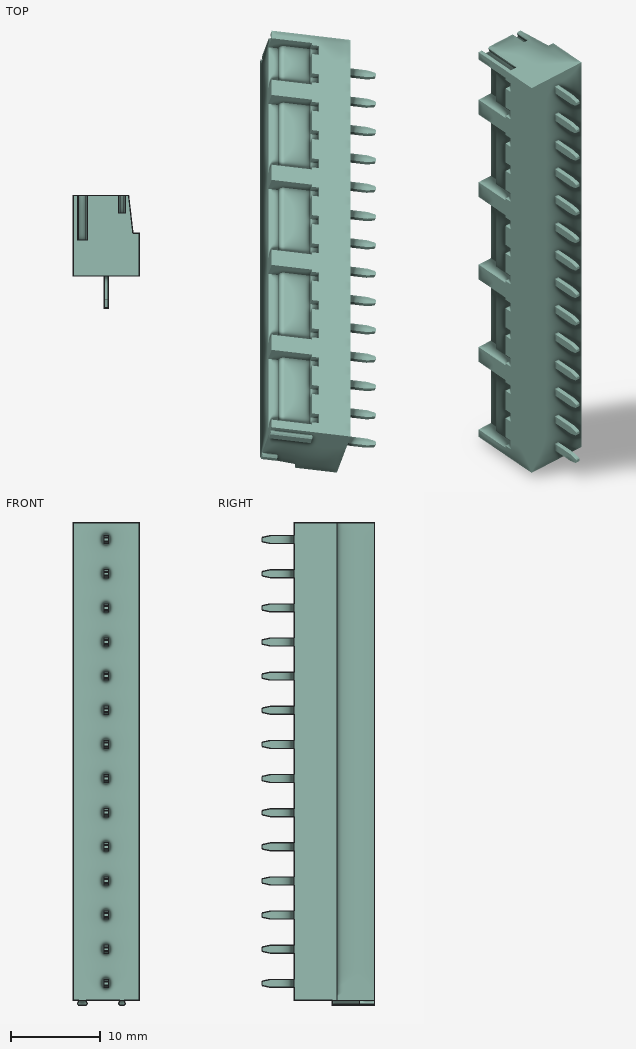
import cadquery as cq

POLES = 14
WIDTH = 7.4
DEPTH = 9.0
HEIGHT = 53.35
PITCH = HEIGHT / POLES

LEDGE_Y = 4.8
SLOPE_START_X = 6.7
SLOPE_END_X = 6.2

PIN_LENGTH = 3.6
PIN_THICK = 0.5
PIN_WIDTH = 0.9
PIN_TIP_WIDTH = 0.55
PIN_TIP_LENGTH = 0.95
PIN_TIP_CHAMFER = 0.1

POLES_PER_RECESS = 3
RIB_HALF = 1.0
RECESS_REACH = 4.6
DEEP_REACH = 1.15
SHALLOW_DEPTH = 1.25
STEP_RADIUS = 0.6
DEEP_DEPTH = SHALLOW_DEPTH + STEP_RADIUS

NOTCH_LENGTH = 0.8
NOTCH_WIDTH = 1.2
NOTCH_DEPTH = 0.8

TONGUE_HEIGHT = 0.55
TONGUE_CHAMFER = 0.15
GROOVE_DEPTH = 0.65
DOVETAIL_FLARE = 0.15
END_CLEARANCE = 0.2
WIDE_DOVETAIL = (1.0, 0.8, 4.75)
NARROW_DOVETAIL = (5.45, 0.5, 1.7)


def make_housing():
    outline = [
        (0, 0),
        (WIDTH, 0),
        (WIDTH, LEDGE_Y),
        (SLOPE_START_X, LEDGE_Y),
        (SLOPE_END_X, DEPTH),
        (0, DEPTH),
    ]
    return cq.Workplane("XY").polyline(outline).close().extrude(HEIGHT)


def make_pin(z_center):
    half = PIN_WIDTH / 2
    tip_half = PIN_TIP_WIDTH / 2
    shoulder_y = PIN_TIP_LENGTH - PIN_LENGTH
    outline = [
        (0, -half),
        (shoulder_y, -half),
        (PIN_TIP_CHAMFER - PIN_LENGTH, -tip_half),
        (-PIN_LENGTH, PIN_TIP_CHAMFER - tip_half),
        (-PIN_LENGTH, tip_half - PIN_TIP_CHAMFER),
        (PIN_TIP_CHAMFER - PIN_LENGTH, tip_half),
        (shoulder_y, half),
        (0, half),
    ]
    pin = cq.Workplane("YZ").polyline(outline).close().extrude(PIN_THICK)
    return pin.translate(((WIDTH - PIN_THICK) / 2, 0, z_center))


def make_recess(z0, z1):
    step_y = DEPTH - DEEP_REACH
    profile = (
        cq.Workplane("XY", origin=(0, 0, z0))
        .moveTo(0, DEPTH)
        .lineTo(DEEP_DEPTH, DEPTH)
        .lineTo(DEEP_DEPTH, step_y)
        .radiusArc((SHALLOW_DEPTH, step_y - STEP_RADIUS), -STEP_RADIUS)
        .lineTo(SHALLOW_DEPTH, DEPTH - RECESS_REACH)
        .lineTo(0, DEPTH - RECESS_REACH)
        .close()
    )
    return profile.extrude(z1 - z0)


def make_notch(z_center):
    notch = cq.Workplane("XY").box(NOTCH_DEPTH, NOTCH_LENGTH, NOTCH_WIDTH, centered=(False, False, True))
    return notch.translate((0, DEPTH - RECESS_REACH - NOTCH_LENGTH, z_center))


def extrude_from_back(half_outline, center_x, length):
    """Bar ending flush with the +Y face, its outline mirrored about center_x."""
    right = [(center_x + x, z) for x, z in half_outline]
    left = [(center_x - x, z) for x, z in reversed(half_outline)]
    return cq.Workplane("XZ", origin=(0, DEPTH, 0)).polyline(right + left).close().extrude(length)


def make_tongue(center_x, neck_width, length):
    """Tongue that flares below its neck and has a chamfered foot."""
    neck = neck_width / 2
    foot = neck + DOVETAIL_FLARE
    half_outline = [
        (neck, 0),
        (foot, TONGUE_CHAMFER - TONGUE_HEIGHT),
        (foot - TONGUE_CHAMFER, -TONGUE_HEIGHT),
    ]
    return extrude_from_back(half_outline, center_x, length)


def make_groove(center_x, neck_width, tongue_length):
    """Groove with a chamfered mouth, a narrow neck and a flared floor."""
    neck = neck_width / 2
    wide = neck + DOVETAIL_FLARE
    half_outline = [
        (wide, HEIGHT),
        (neck, HEIGHT - DOVETAIL_FLARE),
        (wide, HEIGHT - GROOVE_DEPTH),
    ]
    return extrude_from_back(half_outline, center_x, tongue_length + END_CLEARANCE)


result = make_housing()

for first_pole in range(0, POLES, POLES_PER_RECESS):
    last_pole = min(first_pole + POLES_PER_RECESS, POLES)
    result = result.cut(make_recess(first_pole * PITCH + RIB_HALF, last_pole * PITCH - RIB_HALF))

for pole in range(POLES):
    pole_z = (pole + 0.5) * PITCH
    result = result.cut(make_notch(pole_z)).union(make_pin(pole_z))

for dovetail in (WIDE_DOVETAIL, NARROW_DOVETAIL):
    result = result.cut(make_groove(*dovetail)).union(make_tongue(*dovetail))